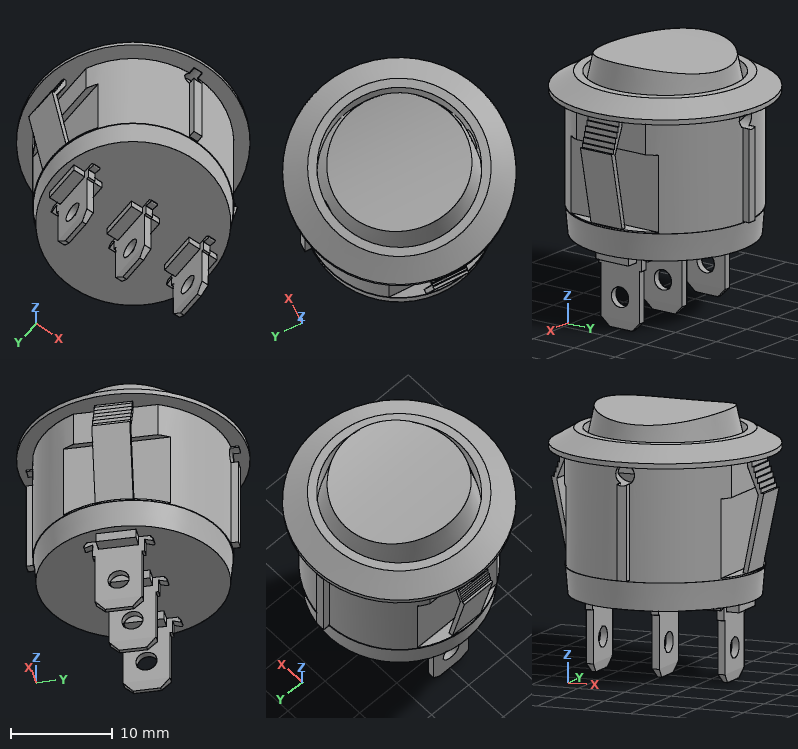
import cadquery as cq
import math

MARGIN = 0.27

flange_radius = 11.5
flange_rim_height = 0.52
flange_top_radius = 9.03
flange_top = 1.99
bore_radius = 8.1
bore_floor = -3.0

barrel_radius = 9.9
collar_top = -11.75
collar_top_radius = 9.85
collar_bottom = -14.63
collar_bottom_radius = 9.6

upper_flat_x = 8.95
lower_flat_x = 8.32
flat_step = -3.65
flat_bottom = -11.6

rocker_rim_radius = 7.5
rocker_crest_radius = 7.0
rocker_crest = 4.38
rocker_dip = 3.48
rocker_flat_y = 7.78

pivot_diameter = 2.0
pivot_z = -1.03
pin_end_y = 9.25
pin_ramp_depth = 0.87
rib_width = 1.0
rib_outer_y = 10.65

clip_width = 3.8
clip_top_inner_x = 9.65
clip_top_outer_x = 9.98
clip_straight_end = -0.85
clip_elbow_inner_x = 10.83
clip_elbow_inner_z = -3.65
clip_elbow_outer_x = 11.42
clip_elbow_outer_z = -3.45
clip_foot_inner_x = 9.2
clip_foot_outer_x = 9.68
tooth_count = 6
tooth_step = 0.2
first_tooth_z = -0.35
last_tooth_z = -3.02
tooth_pitch = (first_tooth_z - last_tooth_z) / (tooth_count - 1)

terminal_pitch = 7.07
terminal_thickness = 0.8
shoulder_width = 5.22
shoulder_bottom = -16.4
blade_width = 4.73
blade_bottom = -22.82
tip_length = 0.98
tip_thickness = 0.45
terminal_hole_diameter = 2.1
terminal_hole_z = -19.5
boss_length = 3.43
boss_width = 4.03
boss_height = 0.95

barb_root_y = 3.18
barb_tip_y = 3.43
barb_tip_drop = 0.35
barb_end_y = 3.3
barb_end_drop = 0.6
barb_inner_y = 2.65
barb_inner_drop = 0.38


def make_housing():
    """Flange, barrel and collar as one turned shape, with the open bore."""
    outline = [
        (0, bore_floor),
        (bore_radius, bore_floor),
        (bore_radius, flange_top),
        (flange_top_radius, flange_top),
        (flange_radius, flange_rim_height),
        (flange_radius, 0),
        (barrel_radius, 0),
        (barrel_radius, collar_top),
        (collar_top_radius, collar_top),
        (collar_bottom_radius, collar_bottom),
        (0, collar_bottom),
    ]
    return cq.Workplane("XZ").polyline(outline).close().revolve(360, (0, 0, 0), (0, 1, 0))


def make_side_cut():
    """Stepped block that leaves the two flats on the +X side."""
    outer_x = barrel_radius + MARGIN
    outline = [
        (upper_flat_x, 0),
        (outer_x, 0),
        (outer_x, flat_bottom),
        (lower_flat_x, flat_bottom),
        (lower_flat_x, flat_step),
        (upper_flat_x, flat_step),
    ]
    return cq.Workplane("XZ").polyline(outline).close().extrude(barrel_radius, both=True)


def make_ribs():
    """Upright key ribs on the -Y and +Y sides."""
    rib_height = -flat_bottom
    ribs = cq.Workplane("XY").box(rib_width, 2 * rib_outer_y, rib_height, centered=(True, True, False))
    core = cq.Workplane("XY").circle(barrel_radius - MARGIN).extrude(rib_height)
    return ribs.cut(core).translate((0, 0, flat_bottom))


def make_pivot_hole():
    """Cylinder along Y for both pivot holes, leaving the bore space alone."""
    return (
        cq.Workplane("XZ")
        .center(0, pivot_z)
        .circle(pivot_diameter / 2)
        .extrude(rib_outer_y + MARGIN, both=True)
        .cut(cq.Workplane("XY").workplane(offset=bore_floor).circle(bore_radius).extrude(-bore_floor))
    )


def make_pins():
    """Pivot pins on both sides of the rocker, lower half of each end ramped."""
    ramp_y = pin_end_y - pin_ramp_depth
    pin_bottom = pivot_z - pivot_diameter / 2
    profile = [
        (-pin_end_y, pivot_z + pivot_diameter / 2),
        (pin_end_y, pivot_z + pivot_diameter / 2),
        (pin_end_y, pivot_z),
        (ramp_y, pin_bottom),
        (-ramp_y, pin_bottom),
        (-pin_end_y, pivot_z),
    ]
    envelope = cq.Workplane("YZ").polyline(profile).close().extrude(pivot_diameter, both=True)
    rod = cq.Workplane("XZ").center(0, pivot_z).circle(pivot_diameter / 2).extrude(pin_end_y, both=True)
    return rod.intersect(envelope)


def make_rocker():
    """Tapered round button with a concave top and flats facing the pivots."""
    taper = (rocker_rim_radius - rocker_crest_radius) / (rocker_crest - flange_top)
    skirt_z = flange_top - (bore_radius - rocker_rim_radius) / taper
    outline = [
        (0, bore_floor),
        (bore_radius, bore_floor),
        (bore_radius, skirt_z),
        (rocker_crest_radius, rocker_crest),
        (0, rocker_crest),
    ]
    button = cq.Workplane("XZ").polyline(outline).close().revolve(360, (0, 0, 0), (0, 1, 0))
    slab = cq.Workplane("XY").box(2 * flange_radius, 2 * rocker_flat_y, 2 * flange_radius)
    sag = rocker_crest - rocker_dip
    dish_radius = (rocker_crest_radius**2 + sag**2) / (2 * sag)
    dish = (
        cq.Workplane("XZ")
        .center(0, rocker_dip + dish_radius)
        .circle(dish_radius)
        .extrude(flange_radius, both=True)
    )
    return button.intersect(slab).cut(dish)


def make_clip():
    """Bent spring clip on the +X side with a toothed upper arm."""
    outline = [
        (clip_elbow_outer_x, clip_elbow_outer_z),
        (clip_foot_outer_x, flat_bottom),
        (clip_foot_inner_x, flat_bottom),
        (clip_elbow_inner_x, clip_elbow_inner_z),
        (clip_top_inner_x, clip_straight_end),
        (clip_top_inner_x, 0),
        (clip_top_outer_x, 0),
    ]
    for tooth in range(tooth_count):
        ledge_z = first_tooth_z - tooth * tooth_pitch
        ledge_x = clip_top_outer_x + tooth * tooth_step
        outline.append((ledge_x, ledge_z))
        outline.append((ledge_x + tooth_step, ledge_z))
    outline.append((clip_top_outer_x + tooth_count * tooth_step, clip_elbow_outer_z))
    return cq.Workplane("XZ").polyline(outline).close().extrude(clip_width / 2, both=True)


def make_barb():
    """Small down-turned wing on the +Y side of a terminal, with a half-round end."""
    end_dy = barb_tip_y - barb_end_y
    end_drop = barb_end_drop - barb_tip_drop
    end_radius = math.hypot(end_dy, end_drop) / 2
    end_angle = math.atan2(end_dy, end_drop)
    round_y = (barb_tip_y + barb_end_y) / 2 + end_radius * math.cos(end_angle)
    round_drop = (barb_tip_drop + barb_end_drop) / 2 + end_radius * math.sin(end_angle)
    return (
        cq.Workplane("YZ")
        .moveTo(0, collar_bottom)
        .lineTo(barb_root_y, collar_bottom)
        .lineTo(barb_tip_y, collar_bottom - barb_tip_drop)
        .threePointArc((round_y, collar_bottom - round_drop), (barb_end_y, collar_bottom - barb_end_drop))
        .lineTo(barb_inner_y, collar_bottom - barb_inner_drop)
        .lineTo(0, collar_bottom - barb_inner_drop)
        .close()
        .extrude(terminal_thickness / 2, both=True)
    )


def make_terminal():
    """Blade with shoulders, tapered tip, eyelet, barbs and a boss around its root."""
    half_shoulder = shoulder_width / 2
    half_blade = blade_width / 2
    half_tip = half_blade - tip_length
    tip_top = blade_bottom + tip_length
    root = collar_bottom + MARGIN
    face = [
        (-half_shoulder, root),
        (half_shoulder, root),
        (half_shoulder, shoulder_bottom),
        (half_blade, shoulder_bottom),
        (half_blade, tip_top),
        (half_tip, blade_bottom),
        (-half_tip, blade_bottom),
        (-half_blade, tip_top),
        (-half_blade, shoulder_bottom),
        (-half_shoulder, shoulder_bottom),
    ]
    edge = [
        (-terminal_thickness / 2, root),
        (terminal_thickness / 2, root),
        (terminal_thickness / 2, tip_top),
        (tip_thickness / 2, blade_bottom),
        (-tip_thickness / 2, blade_bottom),
        (-terminal_thickness / 2, tip_top),
    ]
    blade = cq.Workplane("YZ").polyline(face).close().extrude(terminal_thickness, both=True)
    blade = blade.intersect(cq.Workplane("XZ").polyline(edge).close().extrude(shoulder_width, both=True))
    eyelet = (
        cq.Workplane("YZ")
        .center(0, terminal_hole_z)
        .circle(terminal_hole_diameter / 2)
        .extrude(terminal_thickness, both=True)
    )
    boss = (
        cq.Workplane("XY")
        .workplane(offset=collar_bottom - boss_height)
        .rect(boss_length, boss_width)
        .extrude(boss_height + MARGIN)
    )
    barb = make_barb()
    return blade.cut(eyelet).union(boss).union(barb).union(barb.mirror("XZ"))


side_cut = make_side_cut()
clip = make_clip()
terminal = make_terminal()

result = make_housing().cut(side_cut).cut(side_cut.mirror("YZ"))
result = result.union(make_ribs()).cut(make_pivot_hole())
result = result.union(make_rocker()).union(make_pins())
result = result.union(clip).union(clip.mirror("YZ"))
for position in (-1, 0, 1):
    result = result.union(terminal.translate((position * terminal_pitch, 0, 0)))